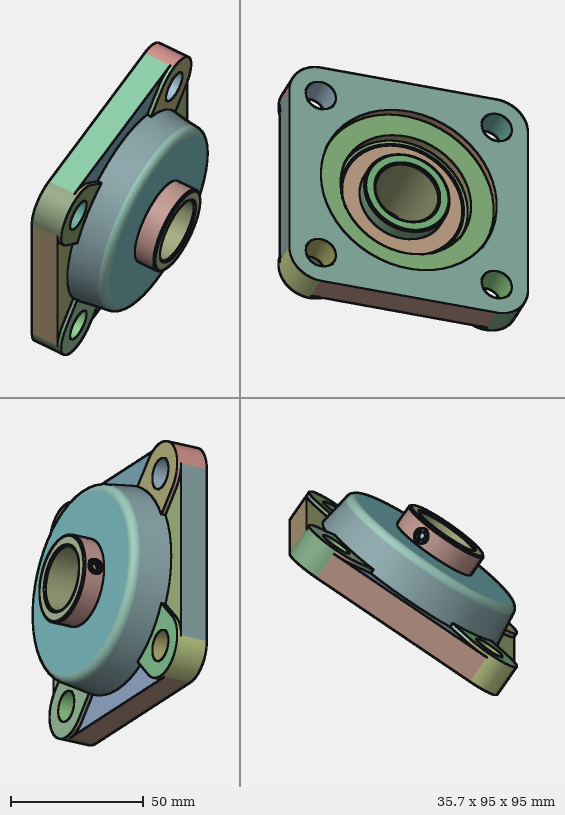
import cadquery as cq
import math

flange_width = 95.0
corner_radius = 12.5
slab_thickness = 11.3
pad_thickness = 13.0
bolt_spacing = 70.0
bolt_hole_diameter = 12.0

housing_front = 27.0
housing_pad_radius = 40.0
housing_taper = math.radians(8.0)
housing_edge_radius = 3.0

recess_radius = 35.0
recess_depth = 3.5
bearing_radius = 26.0
bearing_face = 7.5
seal_rim_radius = 24.5
seal_radius = 23.9
seal_depth = 0.2

ring_front = 35.7
ring_length = 34.0
ring_back = ring_front - ring_length
ring_radius = 17.0
ring_chamfer = 0.6
bore_radius = 12.5

screw_x = ring_front - 5.0
screw_hole_diameter = 6.0
screw_hole_floor = ring_radius - 1.0
screw_diameter = 5.2
screw_top = ring_radius - 0.2
socket_across_flats = 3.0
socket_depth = 1.5
screw_angles = (0.0, 240.0)


def revolve_about_x(points):
    """Revolve a closed (x, radius) outline about the bearing axis."""
    outline = cq.Workplane("XY").polyline(points).close()
    return outline.revolve(360.0, (0, 0, 0), (1, 0, 0))


def make_side_relief():
    """Region thinned on the +Y side, between the two corner pads there."""
    half_width = flange_width / 2
    pad_centre = half_width - corner_radius
    diagonal_reach = corner_radius * math.sqrt(0.5)
    tangent_y = pad_centre + diagonal_reach
    tangent_z = pad_centre - diagonal_reach
    arc_middle_y = pad_centre + corner_radius * math.cos(math.pi / 8)
    arc_middle_z = pad_centre - corner_radius * math.sin(math.pi / 8)
    apex_y = tangent_y - tangent_z
    return (
        cq.Workplane("YZ", origin=(slab_thickness, 0, 0))
        .moveTo(apex_y, 0)
        .lineTo(tangent_y, tangent_z)
        .threePointArc((arc_middle_y, arc_middle_z), (half_width, pad_centre))
        .lineTo(half_width, -pad_centre)
        .threePointArc((arc_middle_y, -arc_middle_z), (tangent_y, -tangent_z))
        .close()
        .extrude(pad_thickness - slab_thickness)
    )


def make_flange():
    plate = (
        cq.Workplane("YZ")
        .rect(flange_width, flange_width)
        .extrude(pad_thickness)
        .edges("|X")
        .fillet(corner_radius)
    )
    relief = make_side_relief()
    for angle in (0, 90, 180, 270):
        plate = plate.cut(relief.rotate((0, 0, 0), (1, 0, 0), angle))
    return plate


def make_housing():
    """Tapered body whose taper runs into a quarter-round front edge."""
    slope = math.tan(housing_taper)
    round_start = housing_front - housing_edge_radius
    slab_level_radius = housing_pad_radius + (pad_thickness - slab_thickness) * slope
    round_start_radius = housing_pad_radius - (round_start - pad_thickness) * slope
    front_face_radius = round_start_radius - housing_edge_radius
    round_middle = housing_edge_radius * math.sqrt(0.5)
    return (
        cq.Workplane("XY")
        .moveTo(0, 0)
        .lineTo(0, slab_level_radius)
        .lineTo(slab_thickness, slab_level_radius)
        .lineTo(round_start, round_start_radius)
        .threePointArc(
            (round_start + round_middle, front_face_radius + round_middle),
            (housing_front, front_face_radius),
        )
        .lineTo(housing_front, 0)
        .close()
        .revolve(360.0, (0, 0, 0), (1, 0, 0))
    )


def make_back_recess():
    return revolve_about_x([
        (0, 0),
        (0, recess_radius),
        (recess_depth, recess_radius),
        (recess_depth, bearing_radius),
        (bearing_face, bearing_radius),
        (bearing_face, seal_rim_radius),
        (bearing_face + seal_depth, seal_radius),
        (bearing_face + seal_depth, 0),
    ])


def make_inner_ring():
    ring = (
        cq.Workplane("YZ", origin=(ring_back, 0, 0))
        .circle(ring_radius)
        .extrude(ring_length)
    )
    return ring.faces("<X or >X").edges().chamfer(ring_chamfer)


def make_bore():
    mouth_radius = bore_radius + ring_chamfer
    return revolve_about_x([
        (ring_back, 0),
        (ring_back, mouth_radius),
        (ring_back + ring_chamfer, bore_radius),
        (ring_front - ring_chamfer, bore_radius),
        (ring_front, mouth_radius),
        (ring_front, 0),
    ])


def make_bolt_holes():
    return (
        cq.Workplane("YZ")
        .rect(bolt_spacing, bolt_spacing, forConstruction=True)
        .vertices()
        .circle(bolt_hole_diameter / 2)
        .extrude(pad_thickness)
    )


def make_screw_hole(angle):
    return (
        cq.Workplane("XZ", origin=(screw_x, screw_hole_floor, 0))
        .circle(screw_hole_diameter / 2)
        .extrude(screw_hole_floor - ring_radius)
        .rotate((0, 0, 0), (1, 0, 0), angle)
    )


def make_screw(angle):
    """Screw end standing in its hole with a narrow gap around it."""
    return (
        cq.Workplane("XZ", origin=(screw_x, screw_hole_floor, 0))
        .circle(screw_diameter / 2)
        .extrude(screw_hole_floor - screw_top)
        .rotate((0, 0, 0), (1, 0, 0), angle)
    )


def make_screw_socket(angle):
    socket_diameter = socket_across_flats / math.cos(math.pi / 6)
    return (
        cq.Workplane("XZ", origin=(screw_x, screw_top, 0))
        .polygon(6, socket_diameter)
        .extrude(socket_depth)
        .rotate((0, 0, 0), (1, 0, 0), angle)
    )


result = (
    make_flange()
    .union(make_housing())
    .cut(make_back_recess())
    .union(make_inner_ring())
    .cut(make_bore())
    .cut(make_bolt_holes())
)
for screw_angle in screw_angles:
    result = (
        result.cut(make_screw_hole(screw_angle))
        .union(make_screw(screw_angle))
        .cut(make_screw_socket(screw_angle))
    )